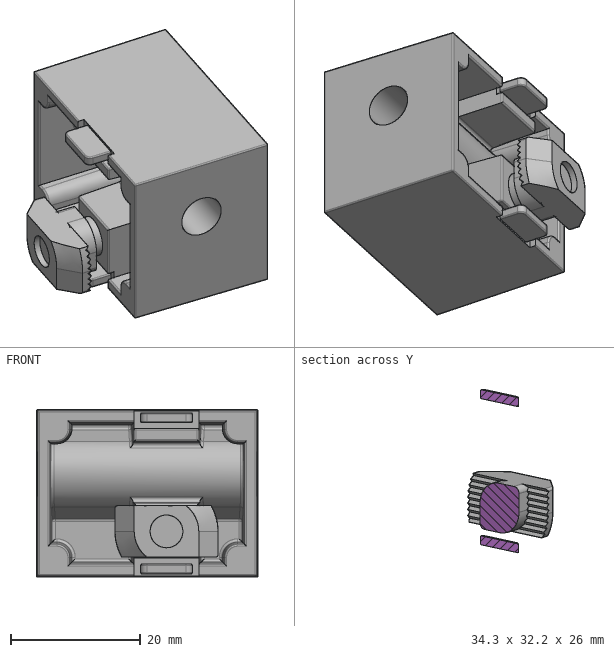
import cadquery as cq
import math


WIDTH = 34.28
HEIGHT = 26.0
DEPTH = 23.2
OUTER_DRAFT = 0.5
EDGE_FILLET = 0.2

CAVITY_WIDTH = 30.25
CAVITY_HEIGHT = 22.0
BACK_WALL = 8.2
CAVITY_DEPTH = DEPTH - BACK_WALL
INNER_DRAFT = 1.5
POST_SIZE = 3.1
POST_RADIUS = 2.0
INNER_FILLET = 0.48
RIM_FILLET = 0.27

TUBE_Y = DEPTH / 2
TUBE_Z = 2.98
TUBE_RADIUS = 5.38
BORE_DIAMETER = 6.85
WEB_ANGLE = 20.0

NUT_X = 2.98
NUT_Z = -5.9
BLOCK_WIDTH = 10.0
BLOCK_TOP = -1.58
TAB_BOTTOM = 8.05
NOTCH_WIDTH = 10.08
NOTCH_DEPTH = 1.03
LEDGE_Z = 10.05
LUG_WIDTH = 8.0
LUG_THICKNESS = 1.5
LUG_REACH = 3.12
LUG_RADIUS = 1.0
LUG_CENTRE_Z = 11.72

SHANK_DIAMETER = 6.3
SHANK_LENGTH = 1.5
NECK_LENGTH = 2.98
NUT_SIZE = 8.0
HEAD_LENGTH = 2 * NUT_SIZE
HEAD_DEPTH = 4.5
HEAD_CHAMFER = 2.98
HEAD_CORNER_RADIUS = 0.4
NECK_SMALL_RADIUS = 1.0
NECK_LARGE_RADIUS = NUT_SIZE / 2 * 0.999
SOCKET_DIAMETER = 5.07
SOCKET_DEPTH = 1.0
TOOTH_COUNT = 8
TOOTH_PITCH = NUT_SIZE / TOOTH_COUNT
TOOTH_DEPTH = TOOTH_PITCH / 2

INNER_DRAFT_SHIFT = CAVITY_DEPTH * math.tan(math.radians(INNER_DRAFT))

TANGENT_Y = TUBE_Y - TUBE_RADIUS * math.sin(math.radians(WEB_ANGLE))
TANGENT_Z = TUBE_RADIUS * math.cos(math.radians(WEB_ANGLE))

TOLERANCE = 0.005


def front_plane(y, x=0, z=0):
    """Plane facing the front (-Y), with local x along X and local y along Z."""
    return cq.Workplane("XZ", origin=(x, y, z))


def box_between(x_range, y_range, z_range):
    """Box given by its limits along each axis."""
    size = [high - low for low, high in (x_range, y_range, z_range)]
    corner = (x_range[0], y_range[0], z_range[0])
    return cq.Workplane("XY").box(*size, centered=False).translate(corner)


def make_shell():
    """Drafted outer block, smaller towards the front."""
    shell = front_plane(DEPTH).rect(WIDTH, HEIGHT).extrude(DEPTH, taper=OUTER_DRAFT)
    return shell.edges().fillet(EDGE_FILLET)


def make_cavity():
    """Drafted cavity volume: a rectangle with a rounded post left in each corner."""
    plane = cq.Plane(origin=(0, 0, 0), xDir=(-1, 0, 0), normal=(0, 1, 0))
    half_width = CAVITY_WIDTH / 2
    half_height = CAVITY_HEIGHT / 2
    outline = cq.Sketch().rect(CAVITY_WIDTH, CAVITY_HEIGHT)
    for side in (-1, 1):
        for level in (-1, 1):
            post = cq.Sketch().rect(2 * POST_SIZE, 2 * POST_SIZE).vertices().fillet(POST_RADIUS)
            corner = cq.Location(cq.Vector(side * half_width, level * half_height))
            outline = outline.face(post.moved(corner), mode="s")
    return cq.Workplane(plane).placeSketch(outline).extrude(CAVITY_DEPTH, taper=INNER_DRAFT)


def make_tube_and_web():
    """Tube along X with two flat web faces running tangent from it to the back wall."""
    back_z = TANGENT_Z + (DEPTH - TANGENT_Y) * math.tan(math.radians(WEB_ANGLE))
    profile = (
        cq.Workplane("YZ", origin=(-WIDTH / 2, 0, TUBE_Z))
        .moveTo(TANGENT_Y, TANGENT_Z)
        .threePointArc((TUBE_Y - TUBE_RADIUS, 0), (TANGENT_Y, -TANGENT_Z))
        .lineTo(DEPTH, -back_z)
        .lineTo(DEPTH, back_z)
        .close()
    )
    return profile.extrude(WIDTH)


def make_rib(bottom, top):
    """Drafted rib from the back wall to the front face; bottom and top are its front limits."""
    width = BLOCK_WIDTH + 2 * INNER_DRAFT_SHIFT
    height = top - bottom + 2 * INNER_DRAFT_SHIFT
    base = front_plane(CAVITY_DEPTH, NUT_X, (bottom + top) / 2).rect(width, height)
    return base.extrude(CAVITY_DEPTH, taper=INNER_DRAFT)


def make_lug(level):
    """Retaining lug standing out of a notch; level is +1 at the top and -1 at the bottom."""
    length = LUG_REACH + NOTCH_DEPTH
    lug = (
        cq.Workplane("XY", origin=(NUT_X, NOTCH_DEPTH - length / 2, level * LUG_CENTRE_Z))
        .box(LUG_WIDTH, length, LUG_THICKNESS)
        .edges("|Z and <Y").fillet(LUG_RADIUS)
    )
    return lug.faces("<Z or >Z").edges("not >Y").fillet(EDGE_FILLET)


def is_inner_corner(edge):
    """True for a concave corner of the cavity that has room for its fillet.

    Left sharp are the roof corner above the web and the top posts' shallow corners with tube and web.
    """
    centre = edge.Center()
    reaches_front = edge.BoundingBox().ymin < EDGE_FILLET
    smooth = abs(centre.y - TANGENT_Y) < TOLERANCE
    beside_post = abs(centre.x) > CAVITY_WIDTH / 2 - POST_SIZE - INNER_DRAFT_SHIFT - TOLERANCE
    top_post = beside_post and centre.z > TUBE_Z + TUBE_RADIUS / 2
    roof = centre.z > CAVITY_HEIGHT / 2 - INNER_DRAFT_SHIFT - TOLERANCE
    return not (reaches_front or smooth or top_post or roof)


def make_void():
    """Open space inside the housing, with rounded inner corners."""
    block = make_rib(-HEIGHT / 2, BLOCK_TOP)
    tab = make_rib(TAB_BOTTOM, HEIGHT / 2)
    void = make_cavity().cut(make_tube_and_web()).cut(block).cut(tab)
    return void.edges().filter(is_inner_corner).fillet(INNER_FILLET)


def is_rim(edge):
    """True for an edge of the opening in the front face."""
    box = edge.BoundingBox()
    in_front_face = box.ymax < TOLERANCE
    inside_width = abs(box.center.x) < CAVITY_WIDTH / 2 + TOLERANCE
    inside_height = abs(box.center.z) < CAVITY_HEIGHT / 2 + TOLERANCE
    return in_front_face and inside_width and inside_height


def make_housing():
    """Housing with its open cavity, tube, block, tab, notches and lugs."""
    housing = make_shell().cut(make_void())
    housing = housing.edges().filter(is_rim).fillet(RIM_FILLET)
    bore = cq.Workplane("YZ", origin=(-WIDTH / 2, TUBE_Y, TUBE_Z)).circle(BORE_DIAMETER / 2).extrude(WIDTH)
    housing = housing.cut(bore)
    notch_height = HEIGHT / 2 - LEDGE_Z
    for level in (-1, 1):
        notch_z = level * (LEDGE_Z + notch_height / 2)
        notch = front_plane(NOTCH_DEPTH, NUT_X, notch_z).rect(NOTCH_WIDTH, notch_height).extrude(NOTCH_DEPTH)
        ledge = cq.selectors.NearestToPointSelector((NUT_X, 0, level * LEDGE_Z))
        housing = housing.cut(notch).edges(ledge).fillet(EDGE_FILLET).union(make_lug(level))
    return housing


def head_half_outline():
    """Half of the head's outline in the XY plane, from its axis out to one end."""
    half_length = HEAD_LENGTH / 2
    points = [
        (0, 0),
        (half_length, 0),
        (half_length, HEAD_CHAMFER - HEAD_DEPTH),
        (half_length - HEAD_CHAMFER, -HEAD_DEPTH),
        (0, -HEAD_DEPTH),
    ]
    return cq.Workplane("XY").polyline(points).close()


def make_groove(z):
    """V groove along X in the back of the head, starting at height z."""
    points = [(0, 0), (-TOOTH_DEPTH, TOOTH_PITCH / 2), (0, TOOTH_PITCH)]
    outline = cq.Workplane("YZ", origin=(-HEAD_LENGTH / 2, 0, z)).polyline(points).close()
    return outline.extrude(HEAD_LENGTH)


def make_head():
    """Serrated bar, back face at y = 0; two opposite corners are square, the other two turned."""
    half_size = NUT_SIZE / 2
    square_quarter = head_half_outline().extrude(half_size)
    square_quarter = square_quarter.edges("|Y and >X and >Z").fillet(HEAD_CORNER_RADIUS).mirror("XY")
    upper_right = box_between((0, HEAD_LENGTH / 2), (-HEAD_DEPTH, 0), (0, half_size))
    turned_quarter = head_half_outline().revolve(360, (0, 0, 0), (0, 1, 0)).intersect(upper_right)
    half_head = square_quarter.union(turned_quarter)
    head = half_head.union(half_head.rotate((0, 0, 0), (0, 1, 0), 180))
    for tooth in range(TOOTH_COUNT):
        head = head.cut(make_groove(tooth * TOOTH_PITCH - half_size))
    return head


def make_neck():
    """Neck with two small and two large rounded corners, filling the grooves it stands on."""
    length = NECK_LENGTH + TOOTH_DEPTH
    half_size = NUT_SIZE / 2
    neck = front_plane(NECK_LENGTH).rect(NUT_SIZE, NUT_SIZE).extrude(length)
    for side in (-1, 1):
        for level, radius in ((-side, NECK_SMALL_RADIUS), (side, NECK_LARGE_RADIUS)):
            corner = (side * half_size, NECK_LENGTH - length / 2, level * half_size)
            neck = neck.edges(cq.selectors.NearestToPointSelector(corner)).fillet(radius)
    return neck


def make_nut():
    """Hammer-head nut: head, neck, shank up to the block and a blind socket in front."""
    shank = front_plane(NECK_LENGTH + SHANK_LENGTH).circle(SHANK_DIAMETER / 2).extrude(SHANK_LENGTH)
    socket = front_plane(SOCKET_DEPTH - HEAD_DEPTH).circle(SOCKET_DIAMETER / 2).extrude(SOCKET_DEPTH)
    nut = make_head().union(make_neck()).union(shank).cut(socket)
    return nut.translate((NUT_X, -SHANK_LENGTH - NECK_LENGTH, NUT_Z))


housing = make_housing()
nut = make_nut()
result = cq.Compound.makeCompound([housing.val(), nut.val()])